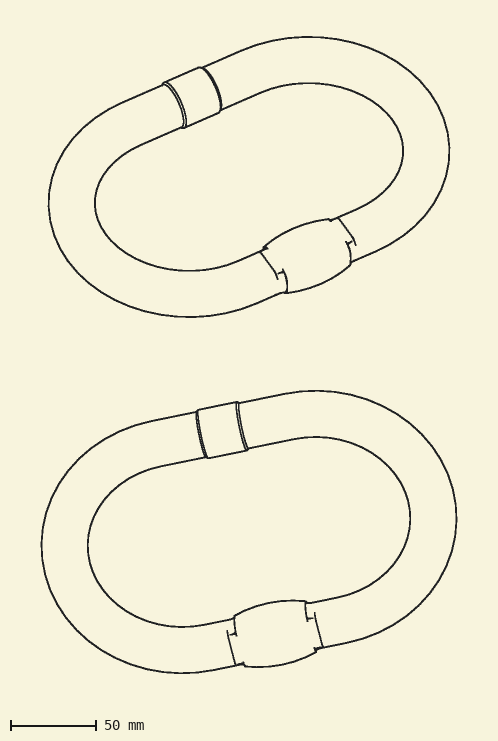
import cadquery as cq
import math

bar_radius = 13.53
ring_length = 243.7
bend_radius = 68.5
straight_half = ring_length / 2 - bend_radius - bar_radius

sleeve_radius = 14.5
sleeve_half = 12.7
sleeve_chamfer_length = 1.2

flat_height = 10.12
flat_half = 26.0
flat_edge_round = 1.83
ramp_angle = 50.0
ramp_rim_round = 3.2

bulge_half_width = 17.91
bulge_end_half_width = 14.25
bulge_half_length = 21.2
bulge_edge_round = 6.0
collar_radius = 8.3
collar_half_height = 9.3
collar_half = 24.5


def bar_along_y(x, start, end):
    """Round bar parallel to Y between two Y positions."""
    return cq.Workplane("XZ", origin=(x, start, 0)).circle(bar_radius).extrude(start - end)


def half_round_end():
    """Half torus joining the two straights at +Y."""
    return (
        cq.Workplane("XZ", origin=(bend_radius, straight_half, 0))
        .circle(bar_radius)
        .revolve(180, (-bend_radius, 0, 0), (-bend_radius, 1, 0))
    )


def sleeve():
    """Sleeve with a short cone at each end running down to the bar."""
    cone_start = sleeve_half - sleeve_chamfer_length
    return (
        cq.Workplane("XY", origin=(-bend_radius, 0, 0))
        .moveTo(0, -sleeve_half)
        .lineTo(bar_radius, -sleeve_half)
        .lineTo(sleeve_radius, -cone_start)
        .lineTo(sleeve_radius, cone_start)
        .lineTo(bar_radius, sleeve_half)
        .lineTo(0, sleeve_half)
        .close()
        .revolve(360, (0, 0, 0), (0, 1, 0))
    )


def slab(half_height):
    """Box across the grip, used to trim parts above and below."""
    return cq.Workplane("XY", origin=(bend_radius, 0, 0)).box(
        4 * bar_radius, 4 * flat_half, 2 * half_height
    )


def grip_core():
    """Bar section with a flat above and below and rounded flat edges."""
    core = bar_along_y(bend_radius, -flat_half, flat_half).intersect(slab(flat_height))
    return core.edges("|Y").edges(">Z or <Z").fillet(flat_edge_round)


def ramped_straight():
    """Bar from the +Y end of the flats to the bend, with rounded ramps up from the flats."""
    straight = bar_along_y(bend_radius, flat_half, straight_half)
    ramp_top = 2 * bar_radius
    ramp_run = (ramp_top - flat_height) / math.tan(math.radians(ramp_angle))
    ramp_cut = (
        cq.Workplane("YZ", origin=(bend_radius, 0, 0))
        .moveTo(flat_half, flat_height)
        .lineTo(flat_half + ramp_run, ramp_top)
        .lineTo(flat_half, ramp_top)
        .close()
        .extrude(2 * bar_radius, both=True)
    )
    straight = straight.cut(ramp_cut).cut(ramp_cut.mirror("XY"))
    rims = cq.selectors.BoxSelector(
        (0, flat_half + 0.2, -bar_radius),
        (2 * bend_radius, straight_half - 0.2, bar_radius),
    )
    return straight.edges(rims).edges("not |Y").fillet(ramp_rim_round)


def bulges():
    """Barrel outline between the flats, with rounded long edges."""
    body = (
        cq.Workplane("XY", origin=(bend_radius, 0, -flat_height))
        .moveTo(bulge_end_half_width, -bulge_half_length)
        .threePointArc((bulge_half_width, 0), (bulge_end_half_width, bulge_half_length))
        .lineTo(-bulge_end_half_width, bulge_half_length)
        .threePointArc((-bulge_half_width, 0), (-bulge_end_half_width, -bulge_half_length))
        .close()
        .extrude(2 * flat_height)
    )
    return body.edges("%CIRCLE").fillet(bulge_edge_round)


def collars():
    """Concave blend rings between the bulges and the bar, trimmed below the flats."""
    ring = (
        cq.Workplane("XY", origin=(bend_radius, 0, 0))
        .moveTo(0, collar_half)
        .lineTo(bar_radius, collar_half)
        .radiusArc((bulge_end_half_width, bulge_half_length), -collar_radius)
        .lineTo(0, bulge_half_length)
        .close()
        .revolve(360, (0, 0, 0), (0, 1, 0))
        .intersect(slab(collar_half_height))
    )
    return ring.union(ring.mirror("XZ"))


bend = half_round_end()
ramped = ramped_straight()
grip = grip_core().union(bulges()).union(collars())
result = (
    bar_along_y(-bend_radius, -straight_half, straight_half)
    .union(bend)
    .union(bend.mirror("XZ"))
    .union(sleeve())
    .union(ramped)
    .union(ramped.mirror("XZ"))
    .union(grip)
)